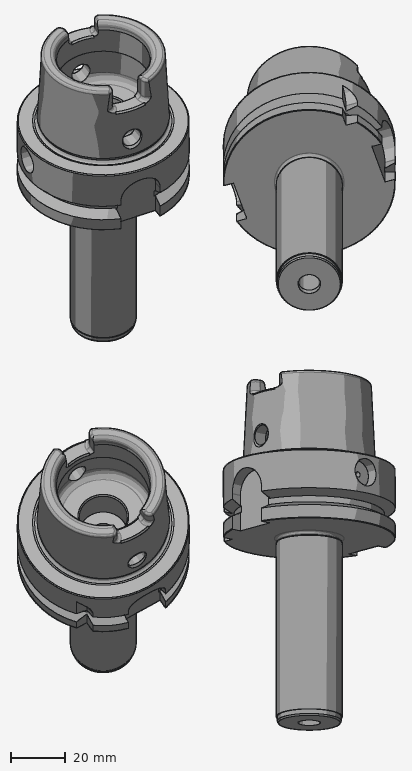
import cadquery as cq
import math

TOTAL_HEIGHT = 127.4
TAPER_HEIGHT = 32.0
FLANGE_HEIGHT = 26.0
FLANGE_TOP = TOTAL_HEIGHT - TAPER_HEIGHT
FLANGE_BOTTOM = FLANGE_TOP - FLANGE_HEIGHT

SHANK_RADIUS = 12.1
RING_RADIUS = 11.7
RING_HEIGHT = 2.3
RING_CHAMFER_WIDTH = 0.4
RING_CHAMFER_HEIGHT = 0.6
NECK_RADIUS = 11.7
NECK_FILLET = 1.0
NECK_LAND = 0.4

FLANGE_RADIUS = 31.5
FLANGE_TOP_CHAMFER = 0.4
FLANGE_BOTTOM_CHAMFER = 0.3
GROOVE_CENTRE = FLANGE_TOP - 17.8
GROOVE_ROOT_RADIUS = 27.5
GROOVE_ROOT_HALF_WIDTH = 1.1
GROOVE_MOUTH_HALF_WIDTH = 3.2

RELIEF_OUTER_RADIUS = 25.9
RELIEF_FLOOR_RADIUS = 25.1
RELIEF_DEPTH = 0.3
RELIEF_FILLET = 1.3
RELIEF_TOP = FLANGE_TOP + 2.0

TAPER_BASE_RADIUS = 24.2
TAPER_SLOPE = 0.05
RIM_FILLET = 1.0
BORE_RADIUS = 17.1
BORE_MOUTH_FILLET = 1.9
BORE_LIP_WIDTH = 0.4
BORE_LIP_HEIGHT = 1.1
BORE_DEPTH = 13.1
CHAMBER_RADIUS = 18.5
CHAMBER_FILLET = 3.0
CHAMBER_DEPTH = 27.4

SOCKET_RADIUS = 8.8
SOCKET_CHAMFER = 0.5
SOCKET_DEPTH = 12.7
PASSAGE_RADIUS = 4.1

NOTCH_HALF_WIDTH = 6.0
NOTCH_CORNER_FILLET = 1.5
NOTCH_EDGE_BEVEL = 0.6
LUG_FILLET = 2.5
SHALLOW_NOTCH_DEPTH = 5.9
DEEP_NOTCH_DEPTH = 9.5

CROSS_HOLE_RADIUS = 3.7
CROSS_HOLE_CHAMFER = 0.6
CROSS_HOLE_HEIGHT = FLANGE_TOP + 9.2

SLOT_RADIUS = 8.0
SLOT_FLOOR = 26.5
SLOT_ARC_HEIGHT = FLANGE_TOP - 12.6
SIDE_NOTCH_WALL = 19.6
SIDE_NOTCH_FLOOR = 20.3
CHIP_RADIUS = 5.1
CHIP_DEPTH = 4.6
CHIP_HEIGHT = FLANGE_TOP - 6.9
CHIP_DIMPLE_RADIUS = 1.0
CHIP_DIMPLE_DEPTH = 0.6

ARC_DIP = 1 - math.sqrt(0.5)


def taper_radius(height):
    """Radius of the outer taper at a height."""
    return TAPER_BASE_RADIUS - TAPER_SLOPE * (height - RELIEF_TOP)


def turned(outline):
    """Revolve a closed half-section about Z, with the seam of the turned faces on the -X side."""
    return outline.revolve(360, (0, 0, 0), (0, 1, 0)).rotate((0, 0, 0), (0, 0, 1), 180)


def make_blank():
    """Shank, neck, flange and taper as one turned body."""
    neck_bottom = FLANGE_BOTTOM - NECK_FILLET - NECK_LAND
    fillet_dip = NECK_FILLET * ARC_DIP
    relief_floor = FLANGE_TOP - RELIEF_DEPTH
    relief_wall = RELIEF_FLOOR_RADIUS - RELIEF_FILLET
    relief_dip = RELIEF_FILLET * ARC_DIP
    half_section = (
        cq.Workplane("XZ")
        .moveTo(0, RING_HEIGHT)
        .lineTo(SHANK_RADIUS, RING_HEIGHT)
        .lineTo(SHANK_RADIUS, neck_bottom - (SHANK_RADIUS - NECK_RADIUS))
        .lineTo(NECK_RADIUS, neck_bottom)
        .lineTo(NECK_RADIUS, FLANGE_BOTTOM - NECK_FILLET)
        .threePointArc(
            (NECK_RADIUS + fillet_dip, FLANGE_BOTTOM - fillet_dip),
            (NECK_RADIUS + NECK_FILLET, FLANGE_BOTTOM),
        )
        .lineTo(FLANGE_RADIUS - FLANGE_BOTTOM_CHAMFER, FLANGE_BOTTOM)
        .lineTo(FLANGE_RADIUS, FLANGE_BOTTOM + FLANGE_BOTTOM_CHAMFER)
        .lineTo(FLANGE_RADIUS, GROOVE_CENTRE - GROOVE_MOUTH_HALF_WIDTH)
        .lineTo(GROOVE_ROOT_RADIUS, GROOVE_CENTRE - GROOVE_ROOT_HALF_WIDTH)
        .lineTo(GROOVE_ROOT_RADIUS, GROOVE_CENTRE + GROOVE_ROOT_HALF_WIDTH)
        .lineTo(FLANGE_RADIUS, GROOVE_CENTRE + GROOVE_MOUTH_HALF_WIDTH)
        .lineTo(FLANGE_RADIUS, FLANGE_TOP - FLANGE_TOP_CHAMFER)
        .lineTo(FLANGE_RADIUS - FLANGE_TOP_CHAMFER, FLANGE_TOP)
        .lineTo(RELIEF_OUTER_RADIUS, FLANGE_TOP)
        .lineTo(RELIEF_FLOOR_RADIUS, relief_floor)
        .threePointArc(
            (relief_wall + relief_dip, relief_floor + relief_dip),
            (relief_wall, relief_floor + RELIEF_FILLET),
        )
        .lineTo(TAPER_BASE_RADIUS, RELIEF_TOP)
        .lineTo(taper_radius(TOTAL_HEIGHT), TOTAL_HEIGHT)
        .lineTo(0, TOTAL_HEIGHT)
        .close()
    )
    return turned(half_section)


def make_entry_bore():
    """Straight bore that opens at the rim through a rounded mouth and a slightly tapered lip."""
    lip_radius = BORE_RADIUS + BORE_LIP_WIDTH
    lip_top = TOTAL_HEIGHT - BORE_MOUTH_FILLET
    mouth_dip = BORE_MOUTH_FILLET * ARC_DIP
    half_section = (
        cq.Workplane("XZ")
        .moveTo(0, TOTAL_HEIGHT)
        .lineTo(lip_radius + BORE_MOUTH_FILLET, TOTAL_HEIGHT)
        .threePointArc(
            (lip_radius + mouth_dip, TOTAL_HEIGHT - mouth_dip),
            (lip_radius, lip_top),
        )
        .lineTo(BORE_RADIUS, lip_top - BORE_LIP_HEIGHT)
        .lineTo(BORE_RADIUS, TOTAL_HEIGHT - BORE_DEPTH)
        .lineTo(0, TOTAL_HEIGHT - BORE_DEPTH)
        .close()
    )
    return turned(half_section)


def make_inner_cavity():
    """Clamping chamber, socket and passage below the entry bore."""
    chamber_top = TOTAL_HEIGHT - BORE_DEPTH
    chamber_floor = TOTAL_HEIGHT - CHAMBER_DEPTH
    dip = CHAMBER_FILLET * ARC_DIP
    socket_floor = chamber_floor - SOCKET_DEPTH
    half_section = (
        cq.Workplane("XZ")
        .moveTo(0, chamber_top)
        .lineTo(CHAMBER_RADIUS, chamber_top)
        .lineTo(CHAMBER_RADIUS, chamber_floor + CHAMBER_FILLET)
        .threePointArc(
            (CHAMBER_RADIUS - dip, chamber_floor + dip),
            (CHAMBER_RADIUS - CHAMBER_FILLET, chamber_floor),
        )
        .lineTo(SOCKET_RADIUS + SOCKET_CHAMFER, chamber_floor)
        .lineTo(SOCKET_RADIUS, chamber_floor - SOCKET_CHAMFER)
        .lineTo(SOCKET_RADIUS, socket_floor)
        .lineTo(PASSAGE_RADIUS, socket_floor)
        .lineTo(PASSAGE_RADIUS, RING_HEIGHT)
        .lineTo(0, RING_HEIGHT)
        .close()
    )
    return turned(half_section)


def make_notch(floor):
    """Drive notch cutter on the +X side: flared ends, and rounded corners along its floor."""
    flare_y = NOTCH_HALF_WIDTH + LUG_FILLET
    flare_x = math.sqrt((taper_radius(floor) - LUG_FILLET) ** 2 - flare_y**2)
    end_angle = math.atan2(flare_y, flare_x)
    middle_angle = (end_angle - math.pi / 2) / 2
    middle_x = flare_x + LUG_FILLET * math.cos(middle_angle)
    middle_y = flare_y + LUG_FILLET * math.sin(middle_angle)
    end_x = flare_x + LUG_FILLET * math.cos(end_angle)
    end_y = flare_y + LUG_FILLET * math.sin(end_angle)
    notch = (
        cq.Workplane("XY", origin=(0, 0, floor))
        .moveTo(0, -NOTCH_HALF_WIDTH)
        .lineTo(flare_x, -NOTCH_HALF_WIDTH)
        .threePointArc((middle_x, -middle_y), (end_x, -end_y))
        .lineTo(FLANGE_RADIUS, -end_y)
        .lineTo(FLANGE_RADIUS, end_y)
        .lineTo(end_x, end_y)
        .threePointArc((middle_x, middle_y), (flare_x, NOTCH_HALF_WIDTH))
        .lineTo(0, NOTCH_HALF_WIDTH)
        .close()
        .extrude(TOTAL_HEIGHT - floor)
    )
    floor_sides = cq.selectors.BoxSelector(
        (0.1, -FLANGE_RADIUS, floor - 0.1),
        (end_x, FLANGE_RADIUS, floor + 0.1),
    )
    return notch.edges(floor_sides).fillet(NOTCH_CORNER_FILLET)


def make_notch_bevels(floor):
    """Cutter for the bevels along the inner and outer edges of the +X notch floor."""
    half_angle = math.degrees(math.asin((NOTCH_HALF_WIDTH - NOTCH_CORNER_FILLET) / BORE_RADIUS))
    outer_radius = taper_radius(floor)
    bevels = cq.Workplane("XY")
    for edge_radius, into_floor in ((BORE_RADIUS, 1), (outer_radius, -1)):
        bevel = (
            cq.Workplane("XZ")
            .moveTo(edge_radius - into_floor * NOTCH_EDGE_BEVEL, floor - NOTCH_EDGE_BEVEL)
            .lineTo(edge_radius, floor - NOTCH_EDGE_BEVEL)
            .lineTo(edge_radius + into_floor * NOTCH_EDGE_BEVEL, floor)
            .lineTo(edge_radius - into_floor * NOTCH_EDGE_BEVEL, floor)
            .close()
            .revolve(2 * half_angle, (0, 0, 0), (0, 1, 0))
            .rotate((0, 0, 0), (0, 0, 1), -half_angle)
        )
        bevels = bevels.add(bevel)
    return bevels.combine()


def on_minus_x(cutter):
    """The cutter turned to the opposite side of the axis."""
    return cutter.rotate((0, 0, 0), (0, 0, 1), 180)


def cut_rim(body):
    """Cut the two drive notches, round the outer rim around the lugs, then bore out the middle."""
    deep_floor = TOTAL_HEIGHT - DEEP_NOTCH_DEPTH
    shallow_floor = TOTAL_HEIGHT - SHALLOW_NOTCH_DEPTH
    body = body.cut(make_notch(deep_floor)).cut(on_minus_x(make_notch(shallow_floor)))
    body = body.faces(">Z").edges().fillet(RIM_FILLET).cut(make_entry_bore())
    return body.cut(make_notch_bevels(deep_floor)).cut(on_minus_x(make_notch_bevels(shallow_floor)))


def make_cross_holes():
    """Chamfered hole straight through the taper wall along X."""
    surface = taper_radius(CROSS_HOLE_HEIGHT)
    drill = (
        cq.Workplane("YZ", origin=(-FLANGE_RADIUS, 0, CROSS_HOLE_HEIGHT))
        .circle(CROSS_HOLE_RADIUS)
        .extrude(2 * FLANGE_RADIUS)
    )
    mouth = cq.Workplane(
        cq.Solid.makeCone(
            CROSS_HOLE_RADIUS,
            CROSS_HOLE_RADIUS + 2 * CROSS_HOLE_CHAMFER,
            2 * CROSS_HOLE_CHAMFER,
            pnt=cq.Vector(surface - CROSS_HOLE_CHAMFER, 0, CROSS_HOLE_HEIGHT),
            dir=cq.Vector(1, 0, 0),
        )
    )
    return drill.union(mouth).union(on_minus_x(mouth))


def make_slot(floor_x, centre_y):
    """Round-topped slot milled from the +X side down to floor_x, open at the flange bottom."""
    return (
        cq.Workplane("YZ", origin=(floor_x, centre_y, 0))
        .moveTo(-SLOT_RADIUS, FLANGE_BOTTOM)
        .lineTo(-SLOT_RADIUS, SLOT_ARC_HEIGHT)
        .threePointArc((0, SLOT_ARC_HEIGHT + SLOT_RADIUS), (SLOT_RADIUS, SLOT_ARC_HEIGHT))
        .lineTo(SLOT_RADIUS, FLANGE_BOTTOM)
        .close()
        .extrude(FLANGE_RADIUS - floor_x)
    )


def make_chip_recess():
    """Flat-bottomed round recess in the -Y side of the flange, with a conical dimple in its floor."""
    floor_y = -(FLANGE_RADIUS - CHIP_DEPTH)
    recess = (
        cq.Workplane("XZ", origin=(0, floor_y, CHIP_HEIGHT))
        .circle(CHIP_RADIUS)
        .extrude(CHIP_DEPTH)
    )
    dimple = cq.Solid.makeCone(
        CHIP_DIMPLE_RADIUS,
        0,
        CHIP_DIMPLE_DEPTH,
        pnt=cq.Vector(0, floor_y, CHIP_HEIGHT),
        dir=cq.Vector(0, 1, 0),
    )
    return recess.union(cq.Workplane(dimple))


def make_holder():
    """Tool holder: hollow taper, flange and shank."""
    drive_slot = make_slot(SLOT_FLOOR, 0)
    side_notch = on_minus_x(make_slot(SIDE_NOTCH_FLOOR, -(SIDE_NOTCH_WALL + SLOT_RADIUS)))
    return (
        cut_rim(make_blank())
        .cut(make_inner_cavity())
        .cut(make_cross_holes())
        .cut(drive_slot)
        .cut(on_minus_x(drive_slot))
        .cut(side_notch)
        .cut(make_chip_recess())
    )


def make_end_ring():
    """Ring seated against the free end of the shank, with a chamfered outer edge."""
    return (
        cq.Workplane("XY")
        .circle(RING_RADIUS)
        .extrude(RING_HEIGHT)
        .faces("<Z")
        .edges()
        .chamfer(RING_CHAMFER_HEIGHT, RING_CHAMFER_WIDTH)
        .faces(">Z")
        .workplane()
        .hole(2 * PASSAGE_RADIUS)
    )


holder = make_holder()
end_ring = make_end_ring()

result = cq.Compound.makeCompound([holder.solids().val(), end_ring.solids().val()])